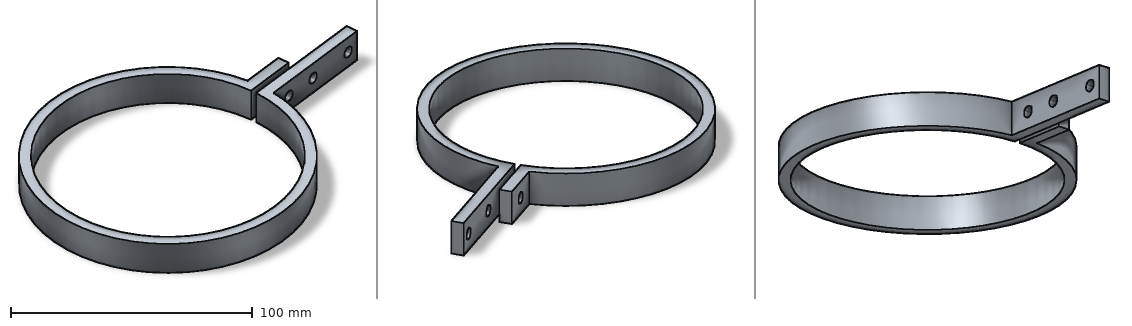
import cadquery as cq

outer_radius = 61.6
band_thickness = 5.0
inner_radius = outer_radius - band_thickness
height = 15.0

gap = 2.7
tab_thickness = 5.5
overall_length = 178
long_tab_end = overall_length - outer_radius
tab_end_offset = 34.9
short_tab_end = long_tab_end - tab_end_offset

hole_diameter = 5.0
hole_setbacks = (5.9, 29.0, 45.0)


def block(x_start, x_end, y_start, y_end):
    """Full-height block between the given X and Y limits."""
    return cq.Workplane("XY").box(
        x_end - x_start, y_end - y_start, height, centered=False
    ).translate((x_start, y_start, -height / 2))


def cylinder(radius):
    """Full-height cylinder on the ring axis."""
    return cq.Workplane("XY", origin=(0, 0, -height / 2)).circle(radius).extrude(height)


def screw_hole(setback):
    """Cutter along X, long enough to pass through both tabs."""
    reach = gap / 2 + tab_thickness
    return (
        cq.Workplane("YZ", origin=(-reach, long_tab_end - setback, 0))
        .circle(hole_diameter / 2)
        .extrude(2 * reach)
    )


tab_face = gap / 2
tab_back = tab_face + tab_thickness
root_start = inner_radius - band_thickness / 2
long_tab = block(tab_face, tab_back, root_start, long_tab_end)
short_tab = block(-tab_back, -tab_face, root_start, short_tab_end)
split = block(-tab_face, tab_face, 0, long_tab_end)

result = cylinder(outer_radius).union(long_tab).union(short_tab)
result = result.cut(cylinder(inner_radius)).cut(split)

for setback in hole_setbacks:
    result = result.cut(screw_hole(setback))